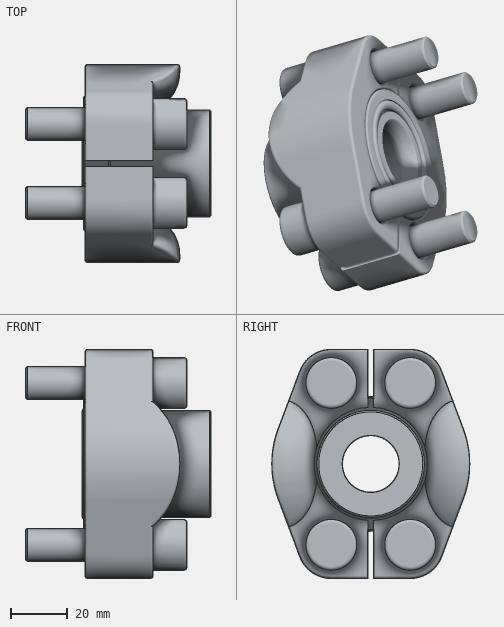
import cadquery as cq
import math

BOLT_SPACING_Y = 27.9
BOLT_SPACING_Z = 57.2

CLAMP_HEIGHT = 81.0
CLAMP_WIDTH = 70.0
CLAMP_THICKNESS = 24.0
CLAMP_GAP = 2.0
CLAMP_EDGE_RADIUS = 1.0
CLAMP_BORE_DIAMETER = 39.9
RECESS_CLEARANCE = 0.25
RECESS_CHAMFER = 0.4

BULGE_TOP_X = 33.45
BULGE_RADIUS = 32.4
BULGE_INNER_ROUND = 14.6
BULGE_INNER_Y = 17.8

BOLT_HOLE_DIAMETER = 13.0
BOLT_HOLE_CHAMFER = 0.6
SHANK_DIAMETER = 11.7
SHANK_LENGTH = 45.0
SHANK_CHAMFER = 0.65
HEAD_DIAMETER = 18.0
HEAD_LENGTH = 12.0
HEAD_ROUND = 1.2

HUB_FACE_X = -0.6
HUB_END_X = 44.5
HUB_FLANGE_DIAMETER = 47.6
HUB_FLANGE_THICKNESS = 9.5
HUB_FLANGE_CHAMFER = 0.6
HUB_FACE_CHAMFER = 0.5
HUB_TUBE_DIAMETER = 37.9
HUB_TUBE_CHAMFER = 0.6
HUB_BORE_DIAMETER = 20.0
HUB_MOUTH_DIAMETER = 25.5
HUB_MOUTH_CHAMFER = 0.4
HUB_MOUTH_DEPTH = 4.9
HUB_THROAT_LENGTH = 0.6
HUB_THROAT_FLARE = 0.2
GROOVE_INNER_DIAMETER = 31.0
GROOVE_OUTER_DIAMETER = 39.9
GROOVE_DEPTH = 3.0

RING_SECTION_DIAMETER = 3.6

bolt_y = BOLT_SPACING_Y / 2
bolt_z = BOLT_SPACING_Z / 2
hub_shoulder_x = HUB_FACE_X + HUB_FLANGE_THICKNESS
groove_floor_x = HUB_FACE_X + GROOVE_DEPTH


def cylinder_x(diameter, start_x, length, y=0.0, z=0.0):
    """Solid cylinder along +X."""
    profile = cq.Workplane("YZ", origin=(start_x, y, z)).circle(diameter / 2)
    return profile.extrude(length)


def half_outline():
    """Closed outline of the +Y half of the clamp, up to the plane y = 0."""
    flank_radius = CLAMP_WIDTH / 2
    corner_radius = CLAMP_HEIGHT / 2 - bolt_z
    bolt_distance = math.hypot(bolt_y, bolt_z)
    tangent_angle = math.atan2(bolt_z, bolt_y) - math.acos((flank_radius - corner_radius) / bolt_distance)
    corner_mid_angle = (tangent_angle + math.pi / 2) / 2

    def corner_point(angle):
        return (bolt_y + corner_radius * math.cos(angle), bolt_z + corner_radius * math.sin(angle))

    def below(point):
        return (point[0], -point[1])

    top = CLAMP_HEIGHT / 2
    corner_mid = corner_point(corner_mid_angle)
    corner_end = corner_point(tangent_angle)
    flank_start = (flank_radius * math.cos(tangent_angle), flank_radius * math.sin(tangent_angle))
    return (
        cq.Workplane("YZ")
        .moveTo(0, top)
        .lineTo(bolt_y, top)
        .threePointArc(corner_mid, corner_end)
        .lineTo(*flank_start)
        .threePointArc((flank_radius, 0), below(flank_start))
        .lineTo(*below(corner_end))
        .threePointArc(below(corner_mid), (bolt_y, -top))
        .lineTo(0, -top)
        .close()
    )


def bulge():
    """Cylinder along Y with a large round on its inner end, trimmed to the clamp outline."""
    length = CLAMP_WIDTH / 2 - BULGE_INNER_Y
    barrel = (
        cq.Workplane("XZ", origin=(BULGE_TOP_X - BULGE_RADIUS, BULGE_INNER_Y, 0))
        .circle(BULGE_RADIUS)
        .extrude(-length)
        .faces("<Y")
        .edges()
        .fillet(BULGE_INNER_ROUND)
    )
    return half_outline().extrude(BULGE_TOP_X).intersect(barrel)


def rim_edges(body, tolerance=0.01):
    """Edges that run along the outer outline at the front and back of the clamp."""
    outline = half_outline().val()
    rim = []
    for edge in body.edges("not |X").vals():
        middle = edge.positionAt(0.5)
        flattened = cq.Vertex.makeVertex(0, middle.y, middle.z)
        if middle.y > tolerance and outline.distance(flattened) < tolerance:
            rim.append(edge)
    return rim


def chamfered_hole(diameter, depth, chamfer, y=0.0, z=0.0):
    """Cutter for a hole along X from the mounting face, with a chamfered mouth."""
    radius = diameter / 2
    mouth = cq.Solid.makeCone(radius + chamfer, radius, chamfer, cq.Vector(0, y, z), cq.Vector(1, 0, 0))
    return cylinder_x(diameter, 0, depth, y, z).union(cq.Workplane(mouth))


def clamp_half():
    body = half_outline().extrude(CLAMP_THICKNESS).union(bulge())
    body = body.newObject(rim_edges(body)).fillet(CLAMP_EDGE_RADIUS)
    gap = cq.Workplane("XY").box(BULGE_TOP_X, CLAMP_GAP, CLAMP_HEIGHT, centered=(False, True, True))
    body = body.cut(gap)
    body = body.cut(cylinder_x(CLAMP_BORE_DIAMETER, 0, BULGE_TOP_X))
    recess_diameter = HUB_FLANGE_DIAMETER + 2 * RECESS_CLEARANCE
    body = body.cut(chamfered_hole(recess_diameter, hub_shoulder_x, RECESS_CHAMFER))
    for z in (-bolt_z, bolt_z):
        body = body.cut(chamfered_hole(BOLT_HOLE_DIAMETER, CLAMP_THICKNESS, BOLT_HOLE_CHAMFER, bolt_y, z))
    return body


def bolt(y, z):
    shank = (
        cylinder_x(SHANK_DIAMETER, CLAMP_THICKNESS - SHANK_LENGTH, SHANK_LENGTH, y, z)
        .faces("<X")
        .edges()
        .chamfer(SHANK_CHAMFER)
    )
    head = cylinder_x(HEAD_DIAMETER, CLAMP_THICKNESS, HEAD_LENGTH, y, z).faces(">X").edges().fillet(HEAD_ROUND)
    return shank.union(head)


def flanged_hub():
    tube_radius = HUB_TUBE_DIAMETER / 2
    flange_radius = HUB_FLANGE_DIAMETER / 2
    bore_radius = HUB_BORE_DIAMETER / 2
    mouth_radius = HUB_MOUTH_DIAMETER / 2
    root_round = (CLAMP_BORE_DIAMETER - HUB_TUBE_DIAMETER) / 2
    root_offset = root_round * (1 - math.sqrt(0.5))
    body = (
        cq.Workplane("XY")
        .moveTo(HUB_FACE_X + HUB_MOUTH_CHAMFER, mouth_radius - HUB_MOUTH_CHAMFER)
        .lineTo(HUB_FACE_X, mouth_radius)
        .lineTo(HUB_FACE_X, flange_radius - HUB_FACE_CHAMFER)
        .lineTo(HUB_FACE_X + HUB_FACE_CHAMFER, flange_radius)
        .lineTo(hub_shoulder_x - HUB_FLANGE_CHAMFER, flange_radius)
        .lineTo(hub_shoulder_x, flange_radius - HUB_FLANGE_CHAMFER)
        .lineTo(hub_shoulder_x, tube_radius + root_round)
        .threePointArc(
            (hub_shoulder_x + root_offset, tube_radius + root_offset),
            (hub_shoulder_x + root_round, tube_radius),
        )
        .lineTo(HUB_END_X - HUB_TUBE_CHAMFER, tube_radius)
        .lineTo(HUB_END_X, tube_radius - HUB_TUBE_CHAMFER)
        .lineTo(HUB_END_X, bore_radius)
        .lineTo(HUB_FACE_X + HUB_MOUTH_DEPTH, bore_radius)
        .lineTo(HUB_FACE_X + HUB_MOUTH_DEPTH - HUB_THROAT_LENGTH, bore_radius + HUB_THROAT_FLARE)
        .close()
        .revolve(360, (0, 0, 0), (1, 0, 0))
    )
    groove = cylinder_x(GROOVE_OUTER_DIAMETER, HUB_FACE_X, GROOVE_DEPTH).cut(
        cylinder_x(GROOVE_INNER_DIAMETER, HUB_FACE_X, GROOVE_DEPTH)
    )
    return body.cut(groove)


def seal_ring():
    section_radius = RING_SECTION_DIAMETER / 2
    center_radius = GROOVE_OUTER_DIAMETER / 2 - section_radius
    ring = cq.Solid.makeTorus(
        center_radius,
        section_radius,
        cq.Vector(groove_floor_x - section_radius, 0, 0),
        cq.Vector(1, 0, 0),
    )
    return cq.Workplane(ring)


clamp_halves = [clamp_half().rotate((0, 0, 0), (1, 0, 0), angle) for angle in (0, 180)]
bolts = [bolt(y, z) for y in (-bolt_y, bolt_y) for z in (-bolt_z, bolt_z)]
bodies = [*clamp_halves, *bolts, flanged_hub(), seal_ring()]
result = cq.Compound.makeCompound([body.solids().val() for body in bodies])